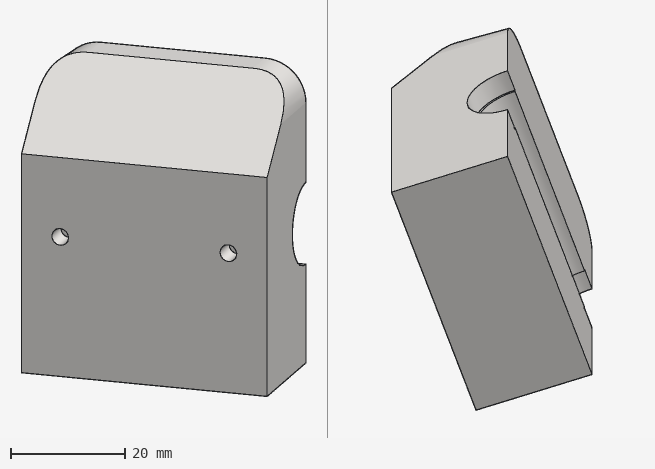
import cadquery as cq
import math

width = 45.3
depth = 21.5
height = 55.0
corner_radius = 7.5
front_chamfer = 14.95

channel_height = 25.5
channel_radius = 7.0
end_recess_radius = 7.5
end_recess_length = 4.0

hole_diameter = 3.0
hole_spacing = 31.0
hole_depth = 5.0

back_y = depth / 2


def make_body():
    """Block with a sloping upper front."""
    body = cq.Workplane("XY").box(width, depth, height, centered=(True, True, False))
    slope = (
        cq.Workplane("YZ")
        .moveTo(-back_y, height)
        .lineTo(-back_y + front_chamfer, height)
        .lineTo(-back_y, height - front_chamfer)
        .close()
        .extrude(width / 2, both=True)
    )
    return body.cut(slope)


def point_on_slope(x, z):
    """Point of the sloping plane at the given x and z."""
    return cq.Vector(x, -back_y + z - (height - front_chamfer), z)


def make_corner_cut(side):
    """Waste outside one rounded corner, blending from a circular arc to a parabola.

    The arc lies on the back face and the parabola on the slope; side is -1 or +1 along X.
    """
    side_x = side * width / 2
    top_x = side_x - side * corner_radius
    side_z = height - corner_radius
    arc_offset = corner_radius * math.sqrt(0.5)

    back_start = cq.Vector(side_x, back_y, side_z)
    back_middle = cq.Vector(top_x + side * arc_offset, back_y, side_z + arc_offset)
    back_end = cq.Vector(top_x, back_y, height)
    back_corner = cq.Vector(side_x, back_y, height)
    back_wire = cq.Wire.assembleEdges([
        cq.Edge.makeThreePointArc(back_start, back_middle, back_end),
        cq.Edge.makeLine(back_end, back_corner),
        cq.Edge.makeLine(back_corner, back_start),
    ])

    slope_start = point_on_slope(side_x, side_z)
    slope_end = point_on_slope(top_x, height)
    slope_corner = point_on_slope(side_x, height)
    slope_wire = cq.Wire.assembleEdges([
        cq.Edge.makeBezier([slope_start, slope_corner, slope_end]),
        cq.Edge.makeLine(slope_end, slope_corner),
        cq.Edge.makeLine(slope_corner, slope_start),
    ])
    return cq.Workplane(cq.Solid.makeLoft([back_wire, slope_wire], True))


def make_channel():
    """Cylinder through the full width, enlarged at both ends."""
    channel = (
        cq.Workplane("YZ", origin=(-width / 2, back_y, channel_height))
        .circle(channel_radius)
        .extrude(width)
    )
    for start_x in (-width / 2, width / 2 - end_recess_length):
        recess = (
            cq.Workplane("YZ", origin=(start_x, back_y, channel_height))
            .circle(end_recess_radius)
            .extrude(end_recess_length)
        )
        channel = channel.union(recess)
    return channel


def make_front_holes():
    """Pair of blind holes running from the front face toward +Y."""
    return (
        cq.Workplane("XZ", origin=(0, -back_y, channel_height))
        .pushPoints([(-hole_spacing / 2, 0), (hole_spacing / 2, 0)])
        .circle(hole_diameter / 2)
        .extrude(-hole_depth)
    )


body = make_body()
for side in (-1, 1):
    body = body.cut(make_corner_cut(side))

result = body.cut(make_channel()).cut(make_front_holes())